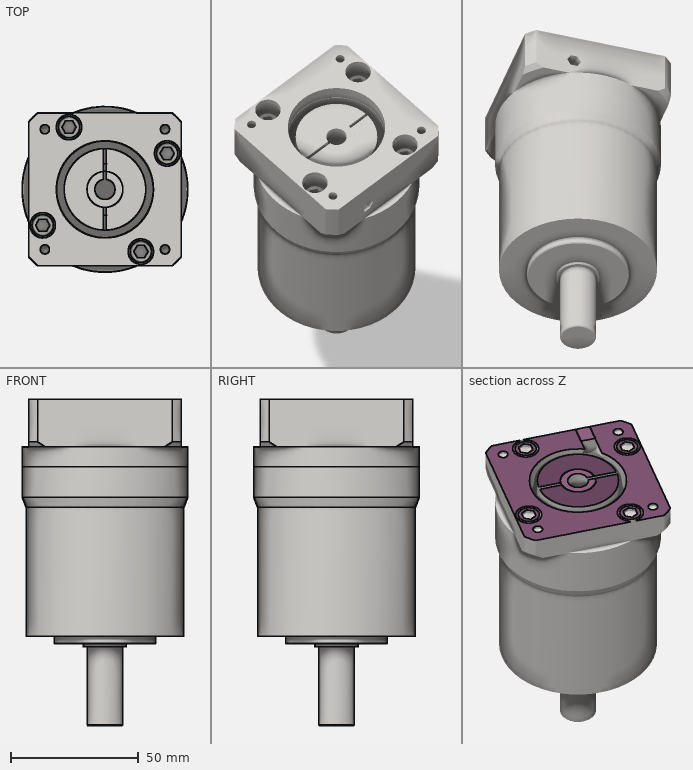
import cadquery as cq
import math


top_z = 128.0
plate_thickness = 18.7
adapter_height = 26.5
cone_top_z = 89.6
cone_bottom_z = 85.6
housing_bottom_z = 35.0
pilot_bottom_z = 32.0
shoulder_bottom_z = 30.8
plate_bottom_z = top_z - plate_thickness
joint_z = top_z - adapter_height

flange_radius = 32.5
housing_radius = 31.0
pilot_radius = 20.0
shoulder_radius = 8.5
shaft_radius = 7.0
edge_chamfer = 0.4

plate_side = 59.9
corner_radius = 40.0
corner_undercut = 1.9
motor_pilot_radius = 19.1
motor_pilot_depth = 6.3
clearance_bore_radius = 19.0
tapped_spacing = 47.1
tapped_radius = 1.8
tapped_depth = 10.2
drill_point_angle = 118.0

screw_circle_radius = 28.2
screw_start_angle = 30.0
screw_count = 4
counterbore_radius = 5.0
counterbore_depth = 12.8
counterbore_floor_z = top_z - counterbore_depth
head_radius = 4.2
head_height = 5.0
head_fillet = 0.4
head_socket_flats = 4.9
head_socket_depth = 2.5

collar_top_z = top_z - motor_pilot_depth
collar_radius = 16.0
sleeve_radius = 7.0
sleeve_bore_radius = 4.0
sleeve_bore_depth = 17.9
slot_width = 1.2
seat_radius = 10.1
seat_height = 5.1
seat_top_z = joint_z + seat_height

plug_y = 10.9
plug_z = top_z - 11.9
plug_radius = 4.0
plug_length = 7.7
plug_socket_flats = 4.9
plug_socket_depth = 5.1


def cylinder(radius, z_bottom, z_top):
    """Cylinder on the Z axis between two levels."""
    return cq.Workplane("XY", origin=(0, 0, z_bottom)).circle(radius).extrude(z_top - z_bottom)


def hex_diameter(across_flats):
    """Diameter of the circle through the corners of a hexagon."""
    return across_flats / math.cos(math.radians(30))


def slot_cutter(y_start, y_end, z_bottom):
    """Narrow upright block on the YZ plane, up to the collar's top face."""
    return cq.Workplane("XY").box(
        slot_width, y_end - y_start, collar_top_z - z_bottom, centered=(True, False, False)
    ).translate((0, y_start, z_bottom))


def side_workplane():
    """Workplane on the plate's -X side at the plug, facing inwards."""
    return cq.Workplane("YZ", origin=(-plate_side / 2, plug_y, plug_z))


def make_gearbox():
    """Housing with its output shaft and the slotted input sleeve."""
    profile = [
        (0, 0),
        (shaft_radius - edge_chamfer, 0),
        (shaft_radius, edge_chamfer),
        (shaft_radius, shoulder_bottom_z),
        (shoulder_radius, shoulder_bottom_z),
        (shoulder_radius, pilot_bottom_z),
        (pilot_radius - edge_chamfer, pilot_bottom_z),
        (pilot_radius, pilot_bottom_z + edge_chamfer),
        (pilot_radius, housing_bottom_z),
        (housing_radius, housing_bottom_z),
        (housing_radius, cone_bottom_z),
        (flange_radius, cone_top_z),
        (flange_radius, joint_z),
        (seat_radius, joint_z),
        (seat_radius, seat_top_z),
        (sleeve_radius, seat_top_z),
        (sleeve_radius, collar_top_z),
        (0, collar_top_z),
    ]
    body = cq.Workplane("XZ").polyline(profile).close().revolve(360, (0, 0), (0, 1))
    bore = cylinder(sleeve_bore_radius, collar_top_z - sleeve_bore_depth, collar_top_z)
    sleeve_slot = slot_cutter(0, sleeve_radius, collar_top_z - sleeve_bore_depth)
    sleeve_slot = sleeve_slot.intersect(cylinder(sleeve_radius, joint_z, collar_top_z))
    return body.cut(bore).cut(sleeve_slot)


def make_plate():
    """Square plate with turned corners that are chamfered underneath."""
    square = (
        cq.Workplane("XY", origin=(0, 0, plate_bottom_z))
        .rect(plate_side, plate_side)
        .extrude(plate_thickness)
    )
    turned_blank = cylinder(corner_radius, plate_bottom_z, top_z).faces("<Z").chamfer(corner_undercut)
    return square.intersect(turned_blank)


def make_tapped_holes():
    """Cutters for the four blind motor screw holes with drill points."""
    point_height = tapped_radius / math.tan(math.radians(drill_point_angle / 2))
    drill = (
        cq.Workplane("XZ")
        .polyline([
            (0, -tapped_depth - point_height),
            (tapped_radius, -tapped_depth),
            (tapped_radius, 0),
            (0, 0),
        ])
        .close()
        .revolve(360, (0, 0), (0, 1))
    )
    places = (
        cq.Workplane("XY", origin=(0, 0, top_z))
        .rect(tapped_spacing, tapped_spacing, forConstruction=True)
        .vertices()
    )
    return places.eachpoint(lambda place: drill.val().moved(place))


def make_screw_head():
    """Socket head seated on the counterbore floor."""
    return (
        cylinder(head_radius, counterbore_floor_z, counterbore_floor_z + head_height)
        .faces(">Z")
        .edges()
        .fillet(head_fillet)
        .faces(">Z")
        .workplane()
        .polygon(6, hex_diameter(head_socket_flats))
        .cutBlind(-head_socket_depth)
    )


def make_adapter():
    """Motor adapter: plate, round foot, bores and its four sunk screws."""
    adapter = make_plate().union(cylinder(flange_radius, joint_z, plate_bottom_z))
    adapter = adapter.cut(cylinder(clearance_bore_radius, joint_z, top_z))
    adapter = adapter.cut(cylinder(motor_pilot_radius, collar_top_z, top_z))
    adapter = adapter.cut(make_tapped_holes())

    counterbore = cylinder(counterbore_radius, counterbore_floor_z, top_z)
    screw_head = make_screw_head()
    for index in range(screw_count):
        angle = math.radians(screw_start_angle + index * 360 / screw_count)
        x = screw_circle_radius * math.cos(angle)
        y = screw_circle_radius * math.sin(angle)
        adapter = adapter.cut(counterbore.translate((x, y, 0)))
        adapter = adapter.union(screw_head.translate((x, y, 0)))

    access_hole = side_workplane().circle(plug_radius).extrude(plate_side / 2)
    return adapter.cut(access_hole)


def make_collar():
    """Clamp collar around the sleeve, slotted from the top on both sides."""
    collar = cylinder(collar_radius, joint_z, collar_top_z)
    collar = collar.cut(cylinder(sleeve_radius, joint_z, collar_top_z))
    collar = collar.cut(cylinder(seat_radius, joint_z, seat_top_z))
    return collar.cut(slot_cutter(-collar_radius, collar_radius, seat_top_z))


def make_plug():
    """Flush plug with a hexagon socket."""
    socket = side_workplane().polygon(6, hex_diameter(plug_socket_flats)).extrude(plug_socket_depth)
    return side_workplane().circle(plug_radius).extrude(plug_length).cut(socket)


gearbox = make_gearbox()
adapter = make_adapter()
collar = make_collar()
plug = make_plug()

result = cq.Compound.makeCompound([
    gearbox.solids().val(),
    adapter.solids().val(),
    collar.solids().val(),
    plug.solids().val(),
])